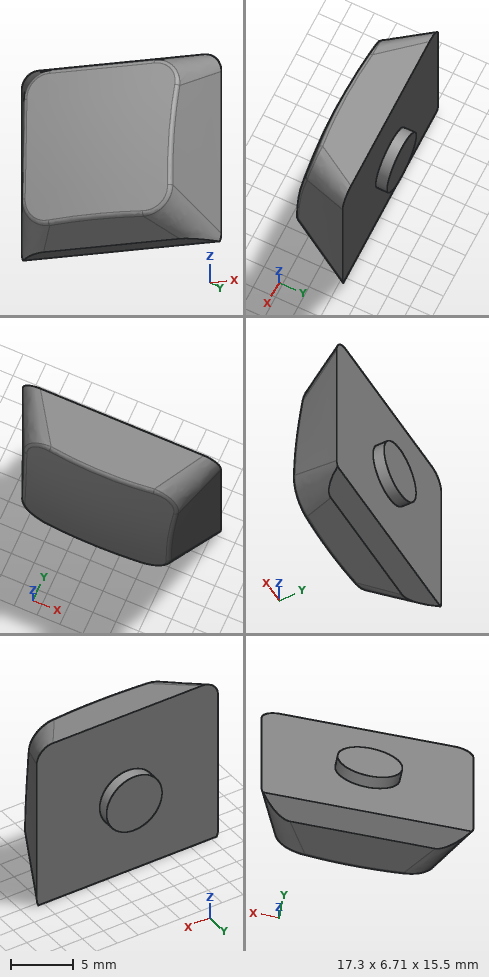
import cadquery as cq

base_width = 17.3
base_height = 16.4
base_corner = 1.52
trimmed_height = 15.52

crown_width = 12.04
crown_height = 12.21
crown_corner = 2.63
crown_center_z = 0.59
crown_depth = 5.9
crown_tilt = 4.2

dome_radius = 43.77
dome_depth = 5.71
dome_center_z = -3.9
rim_fillet = 0.45

stem_diameter = 5.3
stem_length = 1.0


def rounded_rectangle(width, height, corner):
    """Section of four straight sides and four corner arcs."""
    return cq.Sketch().rect(width, height).vertices().fillet(corner)


def make_skirt():
    """Ruled loft from the base to the tilted crown section, running towards -Y."""
    base = rounded_rectangle(base_width, base_height, base_corner)
    crown = rounded_rectangle(crown_width, crown_height, crown_corner)
    crown_position = cq.Location(cq.Vector(0, crown_center_z, crown_depth), cq.Vector(1, 0, 0), -crown_tilt)
    return cq.Workplane("XZ").placeSketch(base, crown.moved(crown_position)).loft(ruled=True)


def make_dome():
    """Sphere whose foremost point is at dome_depth."""
    return cq.Workplane(origin=(0, dome_radius - dome_depth, dome_center_z)).sphere(dome_radius)


def make_trim_block():
    """Block spanning the final height, whose lower face trims the cap flat."""
    block_side = 2 * base_width
    block_center_z = (base_height - trimmed_height) / 2
    return cq.Workplane(origin=(0, 0, block_center_z)).box(block_side, block_side, trimmed_height)


def make_stem():
    """Plain round post on the back of the cap."""
    return cq.Workplane("XZ").circle(stem_diameter / 2).extrude(-stem_length)


cap = make_skirt().intersect(make_dome())
cap = cap.faces("%SPHERE").edges().fillet(rim_fillet)
cap = cap.intersect(make_trim_block())

result = cap.union(make_stem())